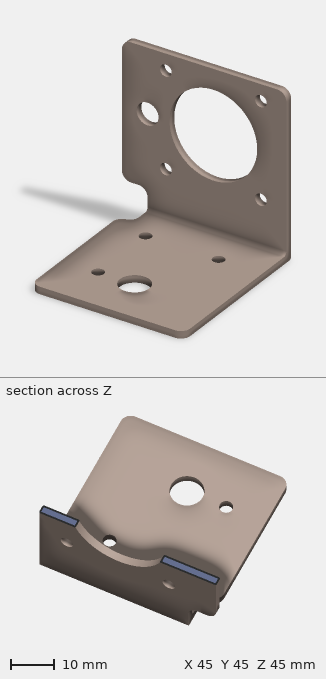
import cadquery as cq
import math

width = 45.0
depth = 45.0
height = 45.0
thickness = 2.0
corner_radius = 2.5
bend_inner_radius = 1.0
bend_outer_radius = 0.65

neck_x = 7.0
floor_left_x = 3.0
notch_length = 8.0

motor_x = 25.0
motor_z = 27.5
motor_diameter = 24.0
motor_screw_offset = 13.0
cable_x = 7.0
cable_diameter = 6.0

shaft_x = 23.0
shaft_y = 13.0
shaft_diameter = 8.0
floor_screw_offset = 10.0

screw_diameter = 3.2


def leaf_profile(plane, left_x, length):
    """Flat leaf in (x, distance from bend), with an S-shaped step out of the neck."""
    step = neck_x - left_x
    half_run = min(step / 2, corner_radius)
    half_rise = math.sqrt(corner_radius**2 - (corner_radius - half_run) ** 2)
    half_turn = math.acos(1 - half_run / corner_radius) / 2
    mid_run = corner_radius * (1 - math.cos(half_turn))
    mid_rise = corner_radius * math.sin(half_turn)
    near = notch_length - half_rise
    far = notch_length + half_rise

    outline = (
        cq.Workplane(plane)
        .moveTo(width, 0)
        .lineTo(neck_x, 0)
        .lineTo(neck_x, near)
        .threePointArc((neck_x - mid_run, near + mid_rise), (neck_x - half_run, notch_length))
    )
    if step > 2 * corner_radius:
        outline = outline.lineTo(left_x + half_run, notch_length)
    return (
        outline
        .threePointArc((left_x + mid_run, far - mid_rise), (left_x, far))
        .lineTo(left_x, length - corner_radius)
        .radiusArc((left_x + corner_radius, length), corner_radius)
        .lineTo(width - corner_radius, length)
        .radiusArc((width, length - corner_radius), corner_radius)
        .close()
    )


def drill(plane, centers, diameter):
    """Cutters through one leaf thickness."""
    return cq.Workplane(plane).pushPoints(centers).circle(diameter / 2).extrude(thickness)


wall_plane = cq.Plane(origin=(0, depth, 0), xDir=(1, 0, 0), normal=(0, -1, 0))
floor_plane = cq.Plane(origin=(0, depth, 0), xDir=(1, 0, 0), normal=(0, 0, -1))
floor_hole_plane = cq.Plane.XY()

wall = leaf_profile(wall_plane, 0, height).extrude(thickness)
floor = leaf_profile(floor_plane, floor_left_x, depth).extrude(-thickness)
bracket = wall.union(floor)

bend_x = (neck_x + width) / 2
inner_edge = cq.selectors.NearestToPointSelector((bend_x, depth - thickness, thickness))
outer_edge = cq.selectors.NearestToPointSelector((bend_x, depth, 0))
bracket = bracket.edges(inner_edge).fillet(bend_inner_radius)
bracket = bracket.edges(outer_edge).fillet(bend_outer_radius)

motor_screws = [
    (motor_x + side * motor_screw_offset, motor_z + level * motor_screw_offset)
    for side in (-1, 1)
    for level in (-1, 1)
]
bracket = bracket.cut(drill(wall_plane, [(motor_x, motor_z)], motor_diameter))
bracket = bracket.cut(drill(wall_plane, motor_screws, screw_diameter))
bracket = bracket.cut(drill(wall_plane, [(cable_x, motor_z)], cable_diameter))

left_screw_x = shaft_x - floor_screw_offset
right_screw_x = shaft_x + floor_screw_offset
rear_screw_y = shaft_y + 2 * floor_screw_offset
floor_screws = [
    (left_screw_x, shaft_y),
    (left_screw_x, rear_screw_y),
    (right_screw_x, rear_screw_y),
]
bracket = bracket.cut(drill(floor_hole_plane, [(shaft_x, shaft_y)], shaft_diameter))
bracket = bracket.cut(drill(floor_hole_plane, floor_screws, screw_diameter))

result = bracket